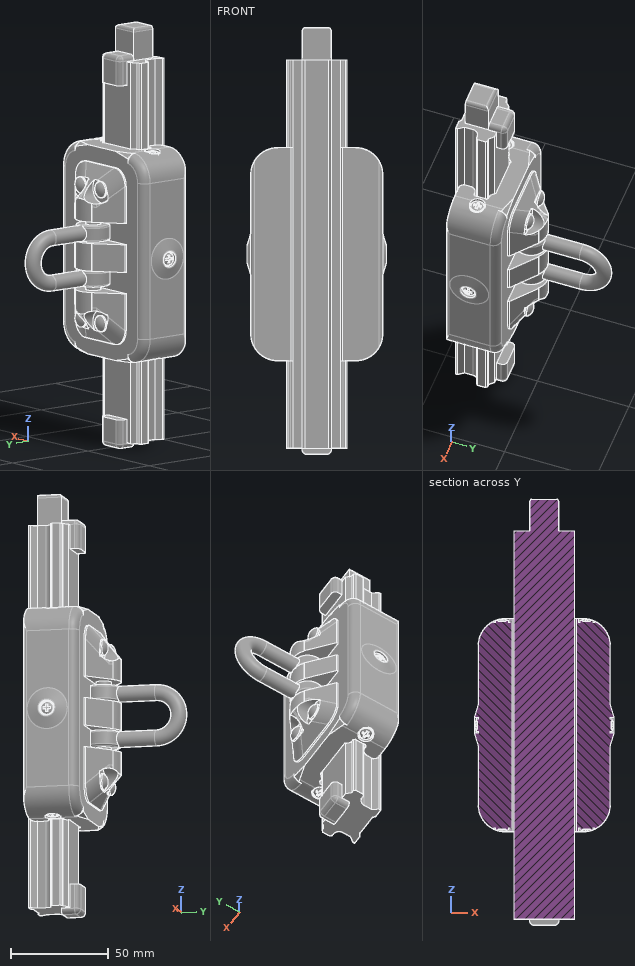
import cadquery as cq
import math

TOTAL_LENGTH = 219.8
MIDDLE_Z = 103.0

RAIL_BOTTOM_Z = 3.0
RAIL_TOP_Z = 203.0
FOOT_HALF_WIDTH = 12.3
FOOT_EDGE_HEIGHT = 1.0
RECESS_MOUTH_HALF_WIDTH = 7.5
RECESS_FLOOR_HALF_WIDTH = 6.2
RECESS_DEPTH = 1.0
NECK_HALF_WIDTH = 10.1
NECK_START_Y = 4.2
NECK_RADIUS = 3.5
LOBE_HALF_WIDTH = 15.5
LOBE_BOTTOM_Y = 12.3
LOBE_TOP_Y = 18.5
LOBE_CHAMFER = 0.9
CREST_HALF_WIDTH = 10.8
RAIL_CREST_Y = 20.9

BAR_HALF_WIDTH = 7.5
BAR_BOTTOM_Y = 3.5
BAR_TOP_Y = 16.3
BAR_ROUND = 1.8
CLIP_HALF_WIDTH = 7.7
CLIP_LENGTH = 15.4
CLIP_OUTER_Y = 26.0
CLIP_ROUND = 2.6

HOUSING_HALF_WIDTH = 34.0
HOUSING_HALF_LENGTH = 55.0
HOUSING_BOTTOM_Y = 2.5
HOUSING_TOP_Y = 31.5
HOUSING_CORNER = 14.0
HOUSING_TOP_ROUND = 4.6
HOUSING_BOTTOM_ROUND = 2.0
SLOT_CLEARANCE = 0.9
SLOT_NECK_HALF_WIDTH = 11.5
SLOT_MOUTH_CHAMFER = 1.8
SQUARE_END_HALF_WIDTH = 21.5
END_BEVEL_RUN = 10.3
END_BEVEL_DROP = 3.0
END_BEVEL_DEPTH = 2.5

SCREW_Y = 15.4
END_SCREW_X = 21.8
SCREW_HEAD_DIAMETER = 6.8
SCREW_HEAD_HEIGHT = 1.8
SCREW_HEAD_RIM = 0.9
SCREW_HOLE_DIAMETER = 8.1
SCREW_HOLE_DEPTH = 2.0
CROSS_LENGTH = 4.0
CROSS_WIDTH = 1.0
CROSS_DEPTH = 1.0

BOSS_DIAMETER = 21.3
BOSS_TIP_DIAMETER = 9.0
SIDE_HOLE_DIAMETER = 8.0
OVERALL_WIDTH = 71.9

MOUND_HALF_WIDTH = 20.2
MOUND_HALF_LENGTH = 46.4
MOUND_CORNER = 8.5
MOUND_BASE_HEIGHT = 0.9
MOUND_SLOPE_RUN = 1.18
MOUND_SHOULDER_HEIGHT = 9.7
MOUND_TIP_HEIGHT = 15.2
MOUND_TIP_RADIUS = 1.8
RIDGE_Y = 46.0
RIDGE_RADIUS = 10.1
RIDGE_SHOULDER_Y = 43.5
POCKET_DIAMETER = 14.0
POCKET_X = 8.1
POCKET_OFFSET_Z = 35.2
POCKET_FLOOR_Y = 38.0
PAN_HEAD_DIAMETER = 8.5
PAN_HEAD_HEIGHT = 3.0
PAN_HEAD_RIM = 0.9

WIRE_DIAMETER = 8.4
LEG_OFFSET_Z = 11.9
SHACKLE_TOP_Y = 80.9
CHANNEL_INNER_Z = 7.3
CHANNEL_OUTER_Z = 18.5
PIN_DIAMETER = 8.0
PIN_Y = 37.0
EYE_DIAMETER = 17.5
EYE_THICKNESS = 8.1
EYE_ROUND = 0.9


def box(x0, x1, y0, y1, z0, z1):
    """Box given by its limits along each axis."""
    return cq.Workplane("XY").box(x1 - x0, y1 - y0, z1 - z0, centered=False).translate((x0, y0, z0))


def mirrored_x(half):
    """Body completed by its mirror image across X = 0."""
    return half.union(half.mirror("YZ"))


def mirrored_z(half):
    """Body completed by its mirror image across the housing's middle plane."""
    return half.union(half.mirror("XY", (0, 0, MIDDLE_Z)))


def upper_profile(start, neck, clearance):
    """Right half of the rail section from the neck upwards, closed along X = 0."""
    lobe = LOBE_HALF_WIDTH + clearance
    lobe_bottom = LOBE_BOTTOM_Y - clearance
    lobe_top = LOBE_TOP_Y + clearance
    crest = RAIL_CREST_Y + clearance
    crest_edge = CREST_HALF_WIDTH + clearance / 2
    diagonal = NECK_RADIUS * math.sqrt(0.5)
    center_x = neck + NECK_RADIUS
    center_y = lobe_bottom - NECK_RADIUS
    return (
        start
        .lineTo(neck, center_y)
        .threePointArc((center_x - diagonal, center_y + diagonal), (center_x, lobe_bottom))
        .lineTo(lobe - LOBE_CHAMFER, lobe_bottom)
        .lineTo(lobe, lobe_bottom + LOBE_CHAMFER)
        .lineTo(lobe, lobe_top - LOBE_CHAMFER)
        .lineTo(lobe - LOBE_CHAMFER, lobe_top)
        .lineTo(crest_edge + crest - lobe_top, lobe_top)
        .lineTo(crest_edge, crest)
        .lineTo(0, crest)
        .close()
    )


def make_profile():
    """Extruded rail: two feet, a neck, side lobes and a crest."""
    start = (
        cq.Workplane("XY", origin=(0, 0, RAIL_BOTTOM_Z))
        .moveTo(0, RECESS_DEPTH)
        .lineTo(RECESS_FLOOR_HALF_WIDTH, RECESS_DEPTH)
        .lineTo(RECESS_MOUTH_HALF_WIDTH, 0)
        .lineTo(FOOT_HALF_WIDTH, 0)
        .lineTo(FOOT_HALF_WIDTH, FOOT_EDGE_HEIGHT)
        .lineTo(NECK_HALF_WIDTH, NECK_START_Y)
    )
    return mirrored_x(upper_profile(start, NECK_HALF_WIDTH, 0).extrude(RAIL_TOP_Z - RAIL_BOTTOM_Z))


def make_bar():
    """Square bar standing out of the rail's top end, with three rounded end edges."""
    bar = box(-BAR_HALF_WIDTH, BAR_HALF_WIDTH, BAR_BOTTOM_Y, BAR_TOP_Y, RAIL_TOP_Z, TOTAL_LENGTH)
    return bar.faces(">Z").edges("|Y or >Y").fillet(BAR_ROUND)


def make_clip():
    """Bottom clip: a plate under the rail end with a leg along the crest, outer edges rounded."""
    spare = 2 * CLIP_ROUND
    block = box(
        -CLIP_HALF_WIDTH, CLIP_HALF_WIDTH, BAR_TOP_Y - spare, CLIP_OUTER_Y, 0, CLIP_LENGTH + spare
    )
    block = block.edges().fillet(CLIP_ROUND)
    return block.intersect(
        box(-CLIP_HALF_WIDTH, CLIP_HALF_WIDTH, BAR_TOP_Y, CLIP_OUTER_Y, 0, CLIP_LENGTH)
    )


def make_rail():
    """Rail with its locking bar and a clip at each end, as one solid."""
    bottom_clip = make_clip()
    clip_middle_z = (RAIL_TOP_Z + RAIL_BOTTOM_Z) / 2
    top_clip = bottom_clip.mirror("XY", (0, 0, clip_middle_z))
    return make_profile().union(make_bar()).union(bottom_clip).union(top_clip)


def make_rounded_block():
    """Housing block with large end corners, extruded along Y."""
    return box(
        -HOUSING_HALF_WIDTH, HOUSING_HALF_WIDTH, HOUSING_BOTTOM_Y, HOUSING_TOP_Y,
        MIDDLE_Z - HOUSING_HALF_LENGTH, MIDDLE_Z + HOUSING_HALF_LENGTH,
    ).edges("|Y").fillet(HOUSING_CORNER)


def make_end_bevel():
    """Wedge that bevels one top corner of the square middle part of the end face."""
    x = SQUARE_END_HALF_WIDTH
    end_z = MIDDLE_Z + HOUSING_HALF_LENGTH
    corner = cq.Vector(x, HOUSING_TOP_Y, end_z)
    along_x = cq.Vector(x - END_BEVEL_RUN, HOUSING_TOP_Y, end_z)
    down_y = cq.Vector(x, HOUSING_TOP_Y - END_BEVEL_DROP, end_z)
    down_z = cq.Vector(x, HOUSING_TOP_Y, end_z - END_BEVEL_DEPTH)
    triangles = [
        (corner, along_x, down_y), (corner, down_y, down_z),
        (corner, down_z, along_x), (along_x, down_y, down_z),
    ]
    faces = [cq.Face.makeFromWires(cq.Wire.makePolygon(list(t), close=True)) for t in triangles]
    return cq.Workplane("XY").add(cq.Solid.makeSolid(cq.Shell.makeShell(faces)))


def make_slot():
    """Clearance slot around the rail, with a flared mouth at the housing's underside."""
    neck = SLOT_NECK_HALF_WIDTH
    mouth_y = HOUSING_BOTTOM_Y
    start = (
        cq.Workplane("XY", origin=(0, 0, MIDDLE_Z - HOUSING_HALF_LENGTH))
        .moveTo(0, mouth_y)
        .lineTo(neck + SLOT_MOUTH_CHAMFER, mouth_y)
        .lineTo(neck, mouth_y + SLOT_MOUTH_CHAMFER)
    )
    return mirrored_x(upper_profile(start, neck, SLOT_CLEARANCE).extrude(2 * HOUSING_HALF_LENGTH))


def make_housing():
    """Housing with rounded top edges, except across the square middle of its ends."""
    block = make_rounded_block()
    long_rounding = box(
        -HOUSING_HALF_WIDTH, HOUSING_HALF_WIDTH, HOUSING_BOTTOM_Y, HOUSING_TOP_Y,
        MIDDLE_Z - HOUSING_HALF_LENGTH, MIDDLE_Z + HOUSING_HALF_LENGTH,
    ).edges("|Z and <Y").fillet(HOUSING_BOTTOM_ROUND)
    square_middle = block.intersect(
        box(
            -SQUARE_END_HALF_WIDTH, SQUARE_END_HALF_WIDTH, HOUSING_BOTTOM_Y, HOUSING_TOP_Y,
            MIDDLE_Z - HOUSING_HALF_LENGTH, MIDDLE_Z + HOUSING_HALF_LENGTH,
        )
    )
    square_middle = square_middle.cut(mirrored_z(mirrored_x(make_end_bevel())))
    rounded = block.faces(">Y").edges().fillet(HOUSING_TOP_ROUND).intersect(long_rounding)
    return rounded.union(square_middle).cut(make_slot())


def make_domed_head(diameter, height, rim):
    """Screw head seated on Z = 0: a short cylindrical rim under a spherical dome."""
    radius = diameter / 2
    dome = height - rim
    sphere_radius = (radius ** 2 + dome ** 2) / (2 * dome)
    sphere = cq.Workplane("XY").sphere(sphere_radius).translate((0, 0, height - sphere_radius))
    return cq.Workplane("XY").circle(radius).extrude(height).intersect(sphere)


def make_cross_head():
    """Domed screw head with a cross recess, seated on Z = 0 and pointing along +Z."""
    head = make_domed_head(SCREW_HEAD_DIAMETER, SCREW_HEAD_HEIGHT, SCREW_HEAD_RIM)
    cross_plane = cq.Workplane("XY", origin=(0, 0, SCREW_HEAD_HEIGHT - CROSS_DEPTH))
    for length, width in ((CROSS_LENGTH, CROSS_WIDTH), (CROSS_WIDTH, CROSS_LENGTH)):
        head = head.cut(cross_plane.rect(length, width).extrude(SCREW_HEAD_HEIGHT))
    return head


def add_end_screws(carriage):
    """Sunk screws in both housing ends, on either side of the rail."""
    floor_z = MIDDLE_Z + HOUSING_HALF_LENGTH - SCREW_HOLE_DEPTH
    hole = (
        cq.Workplane("XY", origin=(END_SCREW_X, SCREW_Y, floor_z))
        .circle(SCREW_HOLE_DIAMETER / 2)
        .extrude(2 * SCREW_HOLE_DEPTH)
    )
    head = make_cross_head().translate((END_SCREW_X, SCREW_Y, floor_z))
    carriage = carriage.cut(mirrored_z(mirrored_x(hole)))
    return carriage.union(mirrored_z(mirrored_x(head)))


def add_side_bosses(carriage):
    """Flat conical boss with a sunk screw on each side of the housing."""
    tip_x = OVERALL_WIDTH / 2
    axis = cq.Vector(1, 0, 0)
    base = cq.Vector(HOUSING_HALF_WIDTH, SCREW_Y, MIDDLE_Z)
    boss = cq.Workplane("XY").add(
        cq.Solid.makeCone(
            BOSS_DIAMETER / 2, BOSS_TIP_DIAMETER / 2, tip_x - HOUSING_HALF_WIDTH, base, axis
        )
    )
    floor = cq.Vector(tip_x - SCREW_HOLE_DEPTH, SCREW_Y, MIDDLE_Z)
    hole = cq.Workplane("XY").add(
        cq.Solid.makeCylinder(SIDE_HOLE_DIAMETER / 2, SCREW_HOLE_DEPTH, floor, axis)
    )
    head = make_cross_head().rotate((0, 0, 0), (0, 1, 0), 90).translate(floor.toTuple())
    carriage = carriage.union(mirrored_x(boss)).cut(mirrored_x(hole))
    return carriage.union(mirrored_x(head))


def mound_section(height, radius):
    """Rounded rectangle of the sloping mound at a height above its base."""
    inset = height * MOUND_SLOPE_RUN
    outline = cq.Sketch().rect(2 * (MOUND_HALF_WIDTH - inset), 2 * (MOUND_HALF_LENGTH - inset))
    return outline.vertices().fillet(radius).moved(cq.Location((0, 0, height)))


def make_mound():
    """Hipped mound with rounded hips, a rounded ridge and two cross channels."""
    base_y = HOUSING_TOP_Y + MOUND_BASE_HEIGHT
    base_plane = cq.Plane(origin=(0, base_y, MIDDLE_Z), xDir=(1, 0, 0), normal=(0, 1, 0))
    foot = mound_section(0, MOUND_CORNER)
    shoulder = mound_section(MOUND_SHOULDER_HEIGHT, MOUND_CORNER)
    tip = mound_section(MOUND_TIP_HEIGHT, MOUND_TIP_RADIUS)
    base = cq.Workplane(base_plane).placeSketch(foot).extrude(-MOUND_BASE_HEIGHT)
    flank = cq.Workplane(base_plane).placeSketch(foot, shoulder).loft(ruled=True)
    peak = cq.Workplane(base_plane).placeSketch(shoulder, tip).loft(ruled=True)
    roof = flank.union(peak)

    low_z = MIDDLE_Z - MOUND_HALF_LENGTH
    high_z = MIDDLE_Z + MOUND_HALF_LENGTH
    below_ridge = box(-MOUND_HALF_WIDTH, MOUND_HALF_WIDTH, base_y, RIDGE_SHOULDER_Y, low_z, high_z)
    ridge = (
        cq.Workplane("XY", origin=(0, RIDGE_Y - RIDGE_RADIUS, low_z))
        .circle(RIDGE_RADIUS)
        .extrude(2 * MOUND_HALF_LENGTH)
    )
    mound = base.union(roof.intersect(below_ridge.union(ridge)))

    channel = box(
        -MOUND_HALF_WIDTH, MOUND_HALF_WIDTH, HOUSING_TOP_Y, RIDGE_Y,
        MIDDLE_Z + CHANNEL_INNER_Z, MIDDLE_Z + CHANNEL_OUTER_Z,
    )
    return mound.cut(mirrored_z(channel))


def add_mound_screws(mound):
    """Pockets in the mound's four hips, each with a rounded pan head on its floor."""
    z = MIDDLE_Z + POCKET_OFFSET_Z
    pocket_floor = cq.Plane(
        origin=(POCKET_X, POCKET_FLOOR_Y, z), xDir=(1, 0, 0), normal=(0, 1, 0)
    )
    pocket = (
        cq.Workplane(pocket_floor).circle(POCKET_DIAMETER / 2).extrude(RIDGE_Y - POCKET_FLOOR_Y)
    )
    head = make_domed_head(PAN_HEAD_DIAMETER, PAN_HEAD_HEIGHT, PAN_HEAD_RIM)
    head = head.rotate((0, 0, 0), (1, 0, 0), -90).translate((POCKET_X, POCKET_FLOOR_Y, z))
    mound = mound.cut(mirrored_z(mirrored_x(pocket)))
    return mound.union(mirrored_z(mirrored_x(head)))


def make_shackle():
    """U-shaped wire whose legs end in round eyes on a pin along Z."""
    bend_y = SHACKLE_TOP_Y - LEG_OFFSET_Z - WIRE_DIAMETER / 2
    path = (
        cq.Workplane("YZ")
        .moveTo(HOUSING_TOP_Y, MIDDLE_Z - LEG_OFFSET_Z)
        .lineTo(bend_y, MIDDLE_Z - LEG_OFFSET_Z)
        .threePointArc((bend_y + LEG_OFFSET_Z, MIDDLE_Z), (bend_y, MIDDLE_Z + LEG_OFFSET_Z))
        .lineTo(HOUSING_TOP_Y, MIDDLE_Z + LEG_OFFSET_Z)
    )
    plane = cq.Plane(
        origin=(0, HOUSING_TOP_Y, MIDDLE_Z - LEG_OFFSET_Z), xDir=(1, 0, 0), normal=(0, 1, 0)
    )
    wire = cq.Workplane(plane).circle(WIRE_DIAMETER / 2).sweep(path)
    pin = (
        cq.Workplane("XY", origin=(0, PIN_Y, MIDDLE_Z - CHANNEL_OUTER_Z))
        .circle(PIN_DIAMETER / 2)
        .extrude(2 * CHANNEL_OUTER_Z)
    )
    eye = (
        cq.Workplane("XY", origin=(0, PIN_Y, MIDDLE_Z + LEG_OFFSET_Z - EYE_THICKNESS / 2))
        .circle(EYE_DIAMETER / 2)
        .extrude(EYE_THICKNESS)
        .edges()
        .fillet(EYE_ROUND)
    )
    above_floor = box(
        -EYE_DIAMETER, EYE_DIAMETER, HOUSING_TOP_Y, SHACKLE_TOP_Y, 0, TOTAL_LENGTH
    )
    return wire.union(pin).union(mirrored_z(eye).intersect(above_floor))


def make_carriage():
    """Housing, screws, mound and shackle as one solid."""
    carriage = add_end_screws(make_housing())
    carriage = add_side_bosses(carriage)
    carriage = carriage.union(add_mound_screws(make_mound()))
    return carriage.union(make_shackle())


rail = make_rail()
carriage = make_carriage()
result = cq.Compound.makeCompound([*rail.solids().vals(), *carriage.solids().vals()])